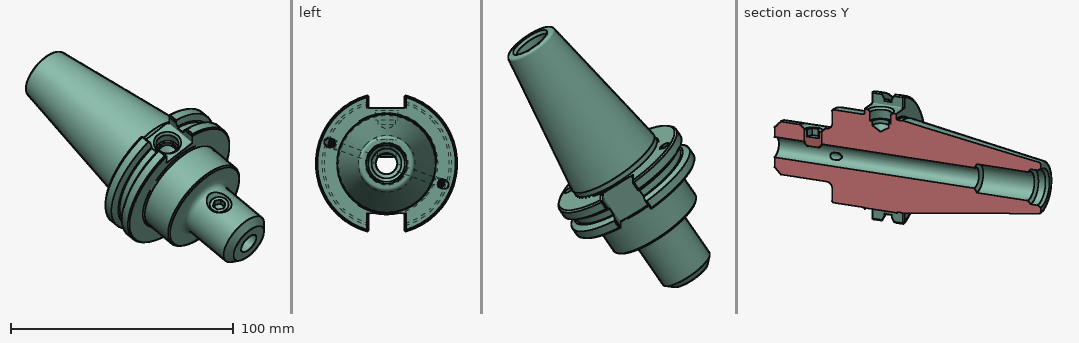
import cadquery as cq
import math

LENGTH = 131.8
CLEARANCE = 0.7

TAPER_RATE = 7 / 24
GAUGE_X = 68.2
GAUGE_RADIUS = 44.4 / 2
NOSE_RADIUS = GAUGE_RADIUS - GAUGE_X * TAPER_RATE / 2
NOSE_ROUND = 1.3
RELIEF_X = 68.9
RELIEF_RADIUS = 44.0 / 2

FLANGE_X = 71.3
FLANGE_WIDTH = 15.8
FLANGE_END_X = FLANGE_X + FLANGE_WIDTH
FLANGE_RADIUS = 63.5 / 2
FLANGE_FRONT_CHAMFER = 0.8
FLANGE_BACK_CHAMFER = 0.5
FLANGE_FRONT_ROOT_ROUND = 0.5
FLANGE_BACK_ROOT_ROUND = 0.7
GROOVE_X = 79.3
GROOVE_RADIUS = 28.0
GROOVE_FLOOR_WIDTH = 3.5
GROOVE_MOUTH_WIDTH = 6.7
GROOVE_FLANK_ANGLE = 60.0

COLLAR_END_X = 103.3
COLLAR_RADIUS = 44.5 / 2
COLLAR_CHAMFER = 0.7
SHANK_RADIUS = 25.4 / 2
SHANK_ROOT_ROUND = 2.8
SHANK_CHAMFER = 3.2

MOUTH_RADIUS = 18.2 / 2
MOUTH_DEPTH = 1.6
PILOT_RADIUS = 16.5 / 2
PILOT_DEPTH = 5.0
THREAD_RADIUS = 13.5 / 2
THREAD_START = 6.3
THREAD_DEPTH = 31.6
BORE_RADIUS = 9.5 / 2
DRILL_POINT_ANGLE = 118.0

SLOT_WIDTH = 16.1
TOP_SLOT_FLOOR = 24.9
BOTTOM_SLOT_FLOOR = 22.4
SLOT_FRONT_CHAMFER = 0.8
SLOT_RIM_CHAMFER = 0.7
SLOT_CORNER_ROUND = 0.4

SLOT_HOLE_RADIUS = 10.1 / 2
SLOT_HOLE_CHAMFER = 1.0
SLOT_HOLE_DEPTH = 5.3
SLOT_DRILL_RADIUS = 8.0 / 2
SLOT_DRILL_DEPTH = 7.2

SCREW_X = 112.6
SCREW_RADIUS = 8.4 / 2
SCREW_TOP = 10.8
SCREW_TIP = 2.9
SCREW_TIP_CHAMFER = 1.3
SCREW_HEX = 5.0
SCREW_HEX_DEPTH = 3.3
SCREW_HEX_TURN = 30.0

COOLANT_CIRCLE_RADIUS = 27.1
COOLANT_POSITION_ANGLES = (20.0, 200.0)
COOLANT_TILT = 35.0
PLUG_RADIUS = 4.1 / 2
PLUG_DEPTH = 1.8
PLUG_LENGTH = 4.0
PLUG_CHAMFER = 0.4
PLUG_HEX = 1.7
PLUG_HEX_DEPTH = 1.6
CHANNEL_RADIUS = 3.3 / 2


def drill_point(radius):
    """Height of the cone that a drill of this radius leaves."""
    return radius / math.tan(math.radians(DRILL_POINT_ANGLE / 2))


def revolve_about_x(profile):
    return profile.close().revolve(360, (0, 0, 0), (1, 0, 0))


def revolve_about_local_z(profile):
    """Revolve an XZ outline about the Z line through its own origin."""
    return profile.close().revolve(360, (0, 0, 0), (0, 1, 0))


def body_blank():
    groove_half_floor = GROOVE_FLOOR_WIDTH / 2
    groove_half_mouth = GROOVE_MOUTH_WIDTH / 2
    flank_width = groove_half_mouth - groove_half_floor
    flank_end_radius = FLANGE_RADIUS - flank_width * math.tan(math.radians(GROOVE_FLANK_ANGLE))
    profile = (
        cq.Workplane("XY")
        .lineTo(0, NOSE_RADIUS)
        .lineTo(GAUGE_X, GAUGE_RADIUS)
        .lineTo(RELIEF_X, RELIEF_RADIUS)
        .lineTo(FLANGE_X - FLANGE_FRONT_ROOT_ROUND, RELIEF_RADIUS)
        .radiusArc((FLANGE_X, RELIEF_RADIUS + FLANGE_FRONT_ROOT_ROUND), -FLANGE_FRONT_ROOT_ROUND)
        .lineTo(FLANGE_X, FLANGE_RADIUS - FLANGE_FRONT_CHAMFER)
        .lineTo(FLANGE_X + FLANGE_FRONT_CHAMFER, FLANGE_RADIUS)
        .lineTo(GROOVE_X - groove_half_mouth, FLANGE_RADIUS)
        .lineTo(GROOVE_X - groove_half_floor, flank_end_radius)
        .lineTo(GROOVE_X - groove_half_floor, GROOVE_RADIUS)
        .lineTo(GROOVE_X + groove_half_floor, GROOVE_RADIUS)
        .lineTo(GROOVE_X + groove_half_floor, flank_end_radius)
        .lineTo(GROOVE_X + groove_half_mouth, FLANGE_RADIUS)
        .lineTo(FLANGE_END_X - FLANGE_BACK_CHAMFER, FLANGE_RADIUS)
        .lineTo(FLANGE_END_X, FLANGE_RADIUS - FLANGE_BACK_CHAMFER)
        .lineTo(FLANGE_END_X, COLLAR_RADIUS + FLANGE_BACK_ROOT_ROUND)
        .radiusArc((FLANGE_END_X + FLANGE_BACK_ROOT_ROUND, COLLAR_RADIUS), -FLANGE_BACK_ROOT_ROUND)
        .lineTo(COLLAR_END_X - COLLAR_CHAMFER, COLLAR_RADIUS)
        .lineTo(COLLAR_END_X, COLLAR_RADIUS - COLLAR_CHAMFER)
        .lineTo(COLLAR_END_X, SHANK_RADIUS + SHANK_ROOT_ROUND)
        .radiusArc((COLLAR_END_X + SHANK_ROOT_ROUND, SHANK_RADIUS), -SHANK_ROOT_ROUND)
        .lineTo(LENGTH - SHANK_CHAMFER, SHANK_RADIUS)
        .lineTo(LENGTH, SHANK_RADIUS - SHANK_CHAMFER)
        .lineTo(LENGTH, 0)
    )
    blank = revolve_about_x(profile)
    return blank.faces("<X").edges().fillet(NOSE_ROUND)


def bore():
    thread_cone = drill_point(THREAD_RADIUS) - drill_point(BORE_RADIUS)
    profile = (
        cq.Workplane("XY")
        .lineTo(0, MOUTH_RADIUS)
        .lineTo(MOUTH_DEPTH, PILOT_RADIUS)
        .lineTo(PILOT_DEPTH, PILOT_RADIUS)
        .lineTo(THREAD_START, THREAD_RADIUS)
        .lineTo(THREAD_DEPTH, THREAD_RADIUS)
        .lineTo(THREAD_DEPTH + thread_cone, BORE_RADIUS)
        .lineTo(LENGTH, BORE_RADIUS)
        .lineTo(LENGTH, 0)
    )
    return revolve_about_x(profile)


def drive_slot(floor):
    """Slot through the +Z rim of the flange, with its floor at this height."""
    height = FLANGE_RADIUS - floor + CLEARANCE
    slot = (
        cq.Workplane("XY")
        .box(FLANGE_WIDTH, SLOT_WIDTH, height, centered=(False, True, False))
        .edges("|X and <Z").fillet(SLOT_CORNER_ROUND)
        .translate((FLANGE_X, 0, floor))
    )
    half = SLOT_WIDTH / 2
    front_bevel = (
        cq.Workplane("XY", origin=(0, 0, floor))
        .polyline([
            (FLANGE_X, half + SLOT_FRONT_CHAMFER),
            (FLANGE_X + SLOT_FRONT_CHAMFER, half),
            (FLANGE_X + SLOT_FRONT_CHAMFER, -half),
            (FLANGE_X, -half - SLOT_FRONT_CHAMFER),
        ])
        .close().extrude(height)
    )
    rim_z = math.sqrt(FLANGE_RADIUS**2 - (half + SLOT_RIM_CHAMFER)**2)
    rim_bevel = (
        cq.Workplane("YZ", origin=(FLANGE_X, 0, rim_z))
        .polyline([
            (-half, -SLOT_RIM_CHAMFER),
            (half, -SLOT_RIM_CHAMFER),
            (half + 2 * SLOT_RIM_CHAMFER, SLOT_RIM_CHAMFER),
            (-half - 2 * SLOT_RIM_CHAMFER, SLOT_RIM_CHAMFER),
        ])
        .close().extrude(FLANGE_WIDTH)
    )
    return slot.union(front_bevel).union(rim_bevel)


def slot_hole():
    ledge_z = TOP_SLOT_FLOOR - SLOT_HOLE_DEPTH
    drill_z = TOP_SLOT_FLOOR - SLOT_DRILL_DEPTH
    profile = (
        cq.Workplane("XZ", origin=(GROOVE_X, 0, 0))
        .moveTo(0, TOP_SLOT_FLOOR)
        .lineTo(SLOT_HOLE_RADIUS + SLOT_HOLE_CHAMFER, TOP_SLOT_FLOOR)
        .lineTo(SLOT_HOLE_RADIUS, TOP_SLOT_FLOOR - SLOT_HOLE_CHAMFER)
        .lineTo(SLOT_HOLE_RADIUS, ledge_z)
        .lineTo(SLOT_DRILL_RADIUS, ledge_z)
        .lineTo(SLOT_DRILL_RADIUS, drill_z)
        .lineTo(0, drill_z - drill_point(SLOT_DRILL_RADIUS))
    )
    return revolve_about_local_z(profile)


def screw_hole():
    """Hole from the shank top down into the bore, with a 45 degree countersink."""
    countersink = SHANK_RADIUS + CLEARANCE - SCREW_TOP
    profile = (
        cq.Workplane("XZ", origin=(SCREW_X, 0, 0))
        .lineTo(SCREW_RADIUS, 0)
        .lineTo(SCREW_RADIUS, SCREW_TOP)
        .lineTo(SCREW_RADIUS + countersink, SCREW_TOP + countersink)
        .lineTo(0, SCREW_TOP + countersink)
    )
    return revolve_about_local_z(profile)


def coolant_plane(position_angle):
    """Plane centred on a channel opening, with its normal along the channel."""
    position = math.radians(position_angle)
    tilt = math.radians(COOLANT_TILT)
    out_y = math.cos(position)
    out_z = math.sin(position)
    return cq.Plane(
        origin=(FLANGE_X, COOLANT_CIRCLE_RADIUS * out_y, COOLANT_CIRCLE_RADIUS * out_z),
        xDir=(0, -out_z, out_y),
        normal=(math.cos(tilt), -math.sin(tilt) * out_y, -math.sin(tilt) * out_z),
    )


def coolant_channel(position_angle):
    """Seat for the plug, continued by a narrower channel that ends inside the bore."""
    opening = cq.Workplane(coolant_plane(position_angle))
    seat_end = PLUG_DEPTH + PLUG_LENGTH
    overshoot = PLUG_RADIUS * math.tan(math.radians(COOLANT_TILT)) + CLEARANCE
    seat = opening.workplane(offset=-overshoot).circle(PLUG_RADIUS).extrude(overshoot + seat_end)
    length_to_axis = COOLANT_CIRCLE_RADIUS / math.sin(math.radians(COOLANT_TILT))
    channel = opening.circle(CHANNEL_RADIUS).extrude(length_to_axis)
    return seat.union(channel)


def holder_body():
    body = body_blank().cut(bore())
    body = body.cut(drive_slot(TOP_SLOT_FLOOR))
    body = body.cut(drive_slot(BOTTOM_SLOT_FLOOR).mirror("XY"))
    body = body.cut(slot_hole()).cut(screw_hole())
    for position_angle in COOLANT_POSITION_ANGLES:
        body = body.cut(coolant_channel(position_angle))
    return body


def clamping_screw():
    screw = (
        cq.Workplane("XY", origin=(SCREW_X, 0, SCREW_TIP))
        .circle(SCREW_RADIUS).extrude(SCREW_TOP - SCREW_TIP)
        .faces("<Z").chamfer(SCREW_TIP_CHAMFER)
    )
    socket = (
        cq.Workplane("XY", origin=(SCREW_X, 0, SCREW_TOP))
        .polygon(6, SCREW_HEX, circumscribed=True).extrude(-SCREW_HEX_DEPTH)
        .rotate((SCREW_X, 0, 0), (SCREW_X, 0, 1), SCREW_HEX_TURN)
    )
    return screw.cut(socket)


def coolant_plug(position_angle):
    outer_face = cq.Workplane(coolant_plane(position_angle)).workplane(offset=PLUG_DEPTH)
    plug = outer_face.circle(PLUG_RADIUS).extrude(PLUG_LENGTH)
    outermost = cq.selectors.DirectionMinMaxSelector(outer_face.plane.zDir, directionMax=False)
    plug = plug.faces(outermost).chamfer(PLUG_CHAMFER)
    socket = outer_face.polygon(6, PLUG_HEX, circumscribed=True).extrude(PLUG_HEX_DEPTH)
    return plug.cut(socket)


holder = holder_body()
screw = clamping_screw()
plugs = [coolant_plug(position_angle) for position_angle in COOLANT_POSITION_ANGLES]
result = cq.Compound.makeCompound([holder.val(), screw.val(), *[plug.val() for plug in plugs]])